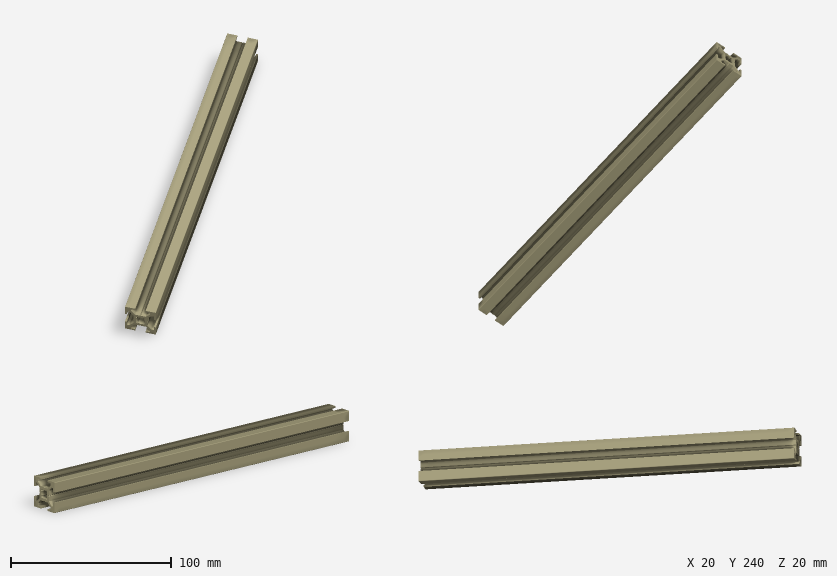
import cadquery as cq
import math

length = 240.0
side = 20.0

slot_opening = 6.7
lip_thickness = 1.2
corner_block = 3.8
outer_radius = 0.35

core_side = 9.0
groove_width = 0.7
groove_depth = 0.5

web_thickness = 1.55

bore_radius = 3.0
lobe_radius = 3.5
lobe_width = 1.5

half_side = side / 2
half_opening = slot_opening / 2


def bar(width, height, x=0.0, z=0.0):
    """Full-length rectangular bar centred on (x, z)."""
    return cq.Workplane("XY").box(width, length, height).translate((x, 0, z))


def rod(radius):
    """Full-length round rod on the axis of the bar."""
    return cq.Workplane("XZ").circle(radius).extrude(length / 2, both=True)


def corner():
    """Rounded corner block with a slot lip running along each outer side."""
    lip_length = half_side - half_opening
    lip_middle = half_side - lip_length / 2
    lip_depth = half_side - lip_thickness / 2
    block_middle = half_side - corner_block / 2
    block = bar(corner_block, corner_block, block_middle, block_middle)
    block = block.union(bar(lip_length, lip_thickness, lip_middle, lip_depth))
    block = block.union(bar(lip_thickness, lip_length, lip_depth, lip_middle))
    return block.edges("(>X and >Z) and |Y").fillet(outer_radius)


def web():
    """Diagonal web from the axis of the bar into the corner block."""
    web_length = math.sqrt(2) * (half_side - corner_block / 2)
    return bar(web_length, web_thickness, web_length / 2).rotate((0, 0, 0), (0, 1, 0), -45)


def face_groove():
    """V-groove in the top face of the core."""
    top = core_side / 2
    return (
        cq.Workplane("XZ")
        .polyline([(-groove_width / 2, top), (groove_width / 2, top), (0, top - groove_depth)])
        .close()
        .extrude(length / 2, both=True)
    )


def bore():
    """Round bore with a diagonal lobe toward each corner of the core."""
    lobes = bar(side, lobe_width).union(bar(lobe_width, side)).rotate((0, 0, 0), (0, 1, 0), 45)
    return rod(bore_radius).union(lobes.intersect(rod(lobe_radius)))


result = bar(core_side, core_side)
for quarter in range(4):
    angle = 90 * quarter
    result = result.union(corner().union(web()).rotate((0, 0, 0), (0, 1, 0), angle))
    result = result.cut(face_groove().rotate((0, 0, 0), (0, 1, 0), angle))
result = result.cut(bore())